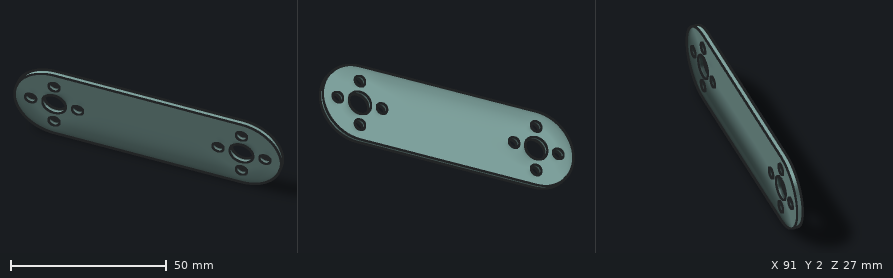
import cadquery as cq

length = 91.0
width = 27.0
thickness = 2.0
center_hole_diameter = 8.0
small_hole_diameter = 3.7
bolt_circle_radius = 8.0
small_hole_count = 4

end_center_x = (length - width) / 2
end_centers = [(-end_center_x, 0), (end_center_x, 0)]


def make_plate():
    """Flat plate with full-round ends, lying in XZ and centred on the origin."""
    return cq.Workplane("XZ").slot2D(length, width).extrude(thickness / 2, both=True)


def cut_hole_group(plate, center):
    """Cut one central hole and its ring of small holes through the plate."""
    face = plate.faces("<Y").workplane(origin=(0, 0, 0)).center(*center)
    plate = face.hole(center_hole_diameter)
    face = plate.faces("<Y").workplane(origin=(0, 0, 0)).center(*center)
    ring = face.polarArray(bolt_circle_radius, 0, 360, small_hole_count)
    return ring.hole(small_hole_diameter)


result = make_plate()
for end_center in end_centers:
    result = cut_hole_group(result, end_center)